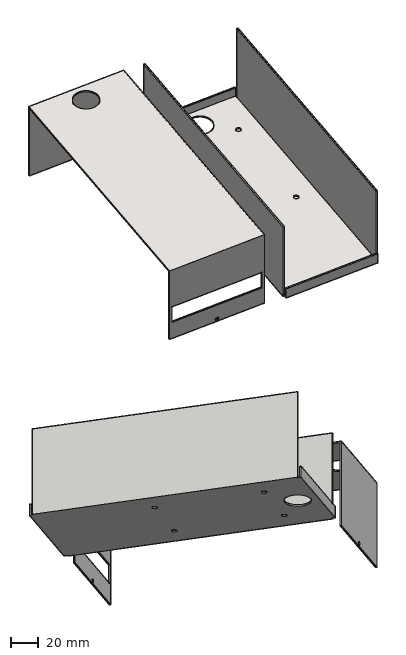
import cadquery as cq

total_length = 208.0
total_depth = 174.0
total_height = 68.5
sheet = 1.2

tray_depth = 78.8
tray_wall_height = 67.8
tray_wall_inset = 2.5
end_lip_height = 9.0
end_lip_setback = sheet

cover_length = 205.0
cover_depth = 79.2
cover_bottom = 1.7
window_height = 15.0
window_bottom = 17.5
window_margin = 2.0

cable_hole_diameter = 20.0
cable_hole_x = -88.2
mounting_hole_diameter = 4.0
mounting_spacing_x = 84.0
mounting_spacing_y = 43.7
mounting_center_x = -28.3
screw_hole_diameter = 3.0
screw_hole_z = 4.0

tray_y = (total_depth - tray_depth) / 2
cover_y = -(total_depth - cover_depth) / 2


def block(length, depth, height, x, y, bottom):
    """Box centred on x and y, standing on the given height."""
    return cq.Workplane("XY").box(length, depth, height, centered=(True, True, False)).translate((x, y, bottom))


def cable_hole(y):
    """Vertical cutter for the cable opening."""
    return cq.Workplane("XY").center(cable_hole_x, y).circle(cable_hole_diameter / 2).extrude(total_height)


def make_tray():
    wall_length = total_length - 2 * tray_wall_inset
    lip_depth = tray_depth - 2 * end_lip_setback

    tray = block(total_length, lip_depth, sheet, 0, tray_y, 0)
    tray = tray.union(block(wall_length, tray_depth, sheet, 0, tray_y, 0))

    for side in (-1, 1):
        wall_y = tray_y + side * (tray_depth - sheet) / 2
        lip_x = side * (total_length - sheet) / 2
        tray = tray.union(block(wall_length, sheet, tray_wall_height, 0, wall_y, 0))
        tray = tray.union(block(sheet, lip_depth, end_lip_height, lip_x, tray_y, 0))

    mounting_holes = (
        cq.Workplane("XY")
        .center(mounting_center_x, tray_y)
        .rarray(mounting_spacing_x, mounting_spacing_y, 2, 2)
        .circle(mounting_hole_diameter / 2)
        .extrude(sheet)
    )
    return tray.cut(mounting_holes).cut(cable_hole(tray_y))


def make_cover():
    cover_height = total_height - cover_bottom
    outside = block(cover_length, cover_depth, cover_height, 0, cover_y, cover_bottom)
    inside = block(cover_length - 2 * sheet, cover_depth, cover_height - sheet, 0, cover_y, cover_bottom)
    cover = outside.cut(inside).cut(cable_hole(cover_y))

    end_plate_x = (cover_length - sheet) / 2
    window_depth = cover_depth - 2 * window_margin
    cover = cover.cut(block(sheet, window_depth, window_height, end_plate_x, cover_y, window_bottom))

    screw_hole = (
        cq.Workplane("YZ", origin=(-cover_length / 2, cover_y, screw_hole_z))
        .circle(screw_hole_diameter / 2)
        .extrude(cover_length)
    )
    return cover.cut(screw_hole)


tray = make_tray()
cover = make_cover()

result = cq.Compound.makeCompound([tray.val(), cover.val()])